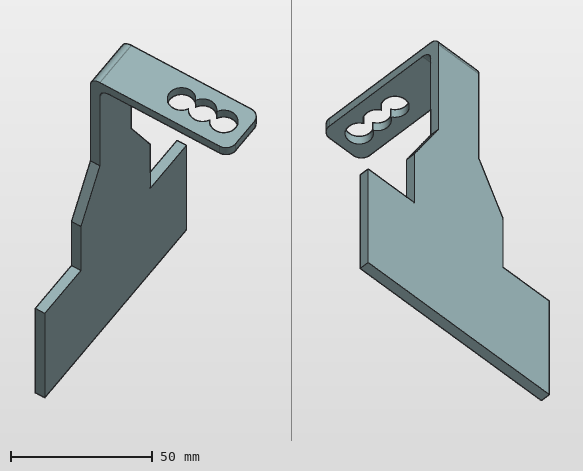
import cadquery as cq

height = 145.0
base_width = 90.0
arm_reach = 59.0
thickness = 4.0

base_height = 49.0
body_width = 44.1
body_top = 74.5
neck_width = 20.0
neck_bottom = 96.7

bend_radius = 4.0
tip_radius = 4.0

hole_diameter = 10.0
hole_pitch = 9.0
hole_count = 3
last_hole_to_tip = 9.0


def make_upright():
    """Symmetric plate in the YZ plane, stepping and tapering to the neck."""
    right_side = [
        (base_width / 2, 0),
        (base_width / 2, base_height),
        (body_width / 2, base_height),
        (body_width / 2, body_top),
        (neck_width / 2, neck_bottom),
        (neck_width / 2, height),
    ]
    left_side = [(-y, z) for y, z in reversed(right_side)]
    return cq.Workplane("YZ").polyline(right_side + left_side).close().extrude(thickness)


def make_arm():
    """Horizontal arm level with the top of the upright, with a rounded tip."""
    arm = cq.Workplane("XY").box(arm_reach, neck_width, thickness, centered=(False, True, False))
    arm = arm.translate((0, 0, height - thickness))
    return arm.edges("|Z and >X").fillet(tip_radius)


def round_bend(plate):
    """Round the inner and outer edges where the arm meets the upright."""
    outer_edge = cq.NearestToPointSelector((0, 0, height))
    inner_edge = cq.NearestToPointSelector((thickness, 0, height - thickness))
    plate = plate.edges("|Y").edges(inner_edge).fillet(bend_radius)
    return plate.edges("|Y").edges(outer_edge).fillet(bend_radius)


def cut_holes(plate):
    """Cut the overlapping holes one by one along the arm centreline."""
    for i in range(hole_count):
        hole_x = arm_reach - last_hole_to_tip - i * hole_pitch
        hole = cq.Workplane("XY").circle(hole_diameter / 2).extrude(thickness)
        plate = plate.cut(hole.translate((hole_x, 0, height - thickness)))
    return plate


bent_plate = round_bend(make_upright().union(make_arm()))
result = cut_holes(bent_plate)